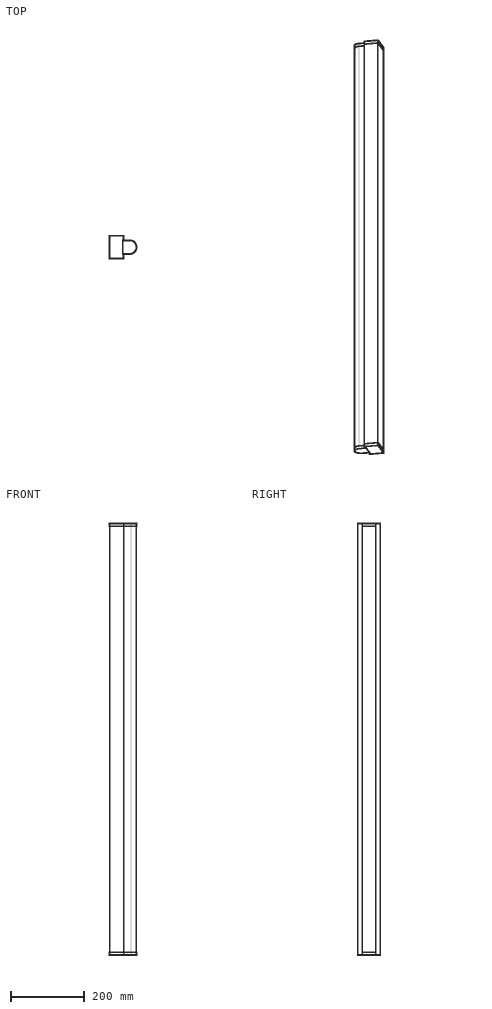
import cadquery as cq

length = 1168.0
overall_depth = 74.0
housing_width = 62.0
housing_depth = 39.0

lens_width = 37.0
nose_length = 16.0
groove_depth = 2.0

end_thickness = 8.0
end_step = 0.5


back_x = -overall_depth / 2
housing_front_x = back_x + housing_depth
groove_floor_x = housing_front_x - groove_depth
nose_tip_x = back_x + overall_depth
middle_length = length - 2 * end_thickness
end_bottoms = (0, length - end_thickness)


def housing_section(inset, bottom, height):
    """Rectangular section, inset on its back and two long sides."""
    return (
        cq.Workplane("XY", origin=(0, 0, bottom))
        .moveTo(back_x + inset, -housing_width / 2 + inset)
        .lineTo(housing_front_x, -housing_width / 2 + inset)
        .lineTo(housing_front_x, housing_width / 2 - inset)
        .lineTo(back_x + inset, housing_width / 2 - inset)
        .close()
        .extrude(height)
    )


def lens_section(inset, bottom, height):
    """D-shaped section with a single-arc nose, inset from the end outline."""
    half_width = lens_width / 2 - inset
    nose_start_x = nose_tip_x - nose_length
    return (
        cq.Workplane("XY", origin=(0, 0, bottom))
        .moveTo(groove_floor_x, -half_width)
        .lineTo(nose_start_x, -half_width)
        .threePointArc((nose_tip_x - inset, 0), (nose_start_x, half_width))
        .lineTo(groove_floor_x, half_width)
        .close()
        .extrude(height)
    )


def stepped_bar(section):
    """Inset middle section joined to a full-size section at each end."""
    bar = section(end_step, end_thickness, middle_length)
    for bottom in end_bottoms:
        bar = bar.union(section(0, bottom, end_thickness))
    return bar


lens = stepped_bar(lens_section)

housing = stepped_bar(housing_section).cut(lens)

result = cq.Compound.makeCompound([housing.val(), lens.val()])